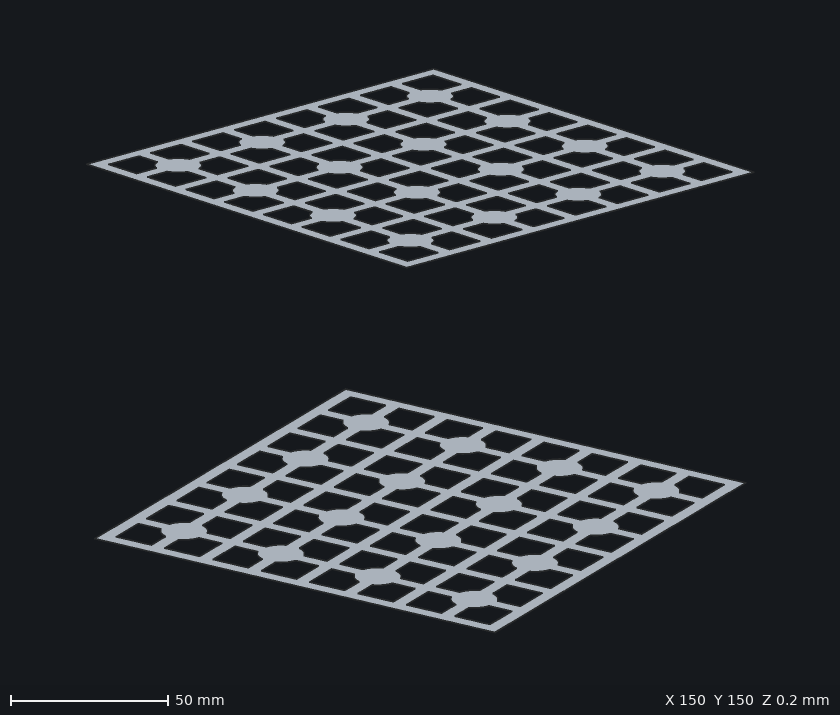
import cadquery as cq

side = 150.0
thickness = 0.2
bar_width = 5.0
openings = 8
disc_radius = 7.5

pitch = (side - bar_width) / openings
opening_side = pitch - bar_width
disc_pitch = 2 * pitch
discs = openings // 2


def make_grid():
    """Square plate pierced by a regular array of square openings."""
    plate = cq.Workplane("XY").rect(side, side).extrude(thickness)
    cutters = (
        cq.Workplane("XY")
        .rarray(pitch, pitch, openings, openings)
        .rect(opening_side, opening_side)
        .extrude(thickness)
    )
    return plate.cut(cutters)


def make_discs():
    """Round pads, flush with the grid, centred on alternate bar crossings."""
    return (
        cq.Workplane("XY")
        .rarray(disc_pitch, disc_pitch, discs, discs)
        .circle(disc_radius)
        .extrude(thickness)
    )


result = make_grid().union(make_discs(), clean=True)